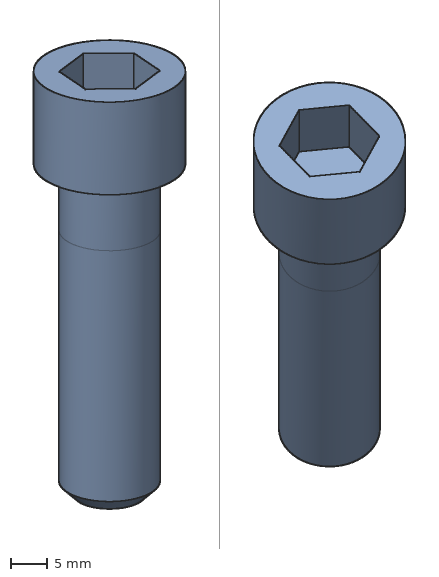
import cadquery as cq
import math

total_length = 64.0
head_diameter = 21.0
head_height = 14.0
shank_diameter = 14.0
thread_length = 40.0
tip_chamfer = 2.05
socket_across_flats = 12.0
socket_depth = 9.0

shank_length = total_length - head_height
plain_length = shank_length - thread_length


def cylinder(diameter, bottom, height):
    """Solid cylinder on the Z axis, standing on the given level."""
    return cq.Workplane("XY").workplane(offset=bottom).circle(diameter / 2).extrude(height)


def hex_socket():
    """Hexagonal cutter with two corners on the X axis."""
    across_corners = socket_across_flats / math.cos(math.pi / 6)
    return (
        cq.Workplane("XY")
        .workplane(offset=head_height - socket_depth)
        .polygon(6, across_corners)
        .extrude(socket_depth)
    )


head = cylinder(head_diameter, 0, head_height).cut(hex_socket())
plain_shank = cylinder(shank_diameter, -plain_length, plain_length)
thread = cylinder(shank_diameter, -shank_length, thread_length).faces("<Z").chamfer(tip_chamfer)

result = head.union(plain_shank, clean=False).union(thread, clean=False)